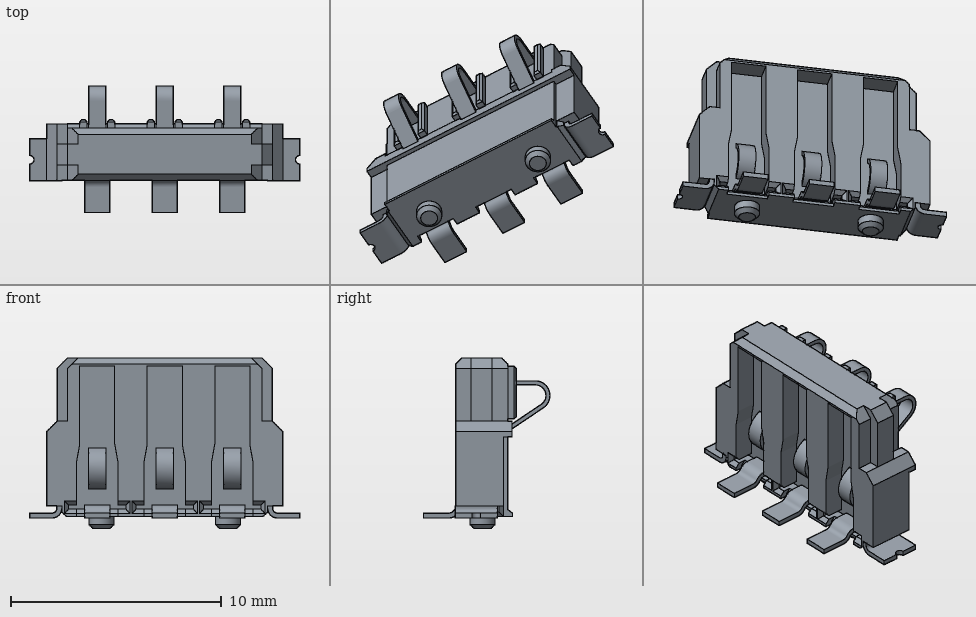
import cadquery as cq
import math


PITCH = 3.2
CONTACT_X = [-PITCH, 0.0, PITCH]

FRONT_Y = -0.98
LOWER_BACK_Y = 1.3
UPPER_BACK_Y = 1.5
SHOULDER_BACK_Y = 1.7

LOWER_HALF_WIDTH = 5.6
STEP = 0.5
RIB_HALF_WIDTH = LOWER_HALF_WIDTH - STEP
UPPER_HALF_WIDTH = RIB_HALF_WIDTH - STEP
SIDE_RIB_FRONT_Y = -0.25
SIDE_RIB_BACK_Y = 0.75

TOP_Z = 7.6
TOP_BEVEL = 0.3
SHOULDER_TOP_Z = 4.6
SHOULDER_BOTTOM_Z = 3.85
LOWER_BOTTOM_Z = 0.58

BASE_HALF_WIDTH = 4.88
BASE_BOTTOM_Z = 0.07
BASE_BEVEL = 0.22
LEDGE_BACK_Y = 1.73
LEDGE_EDGE_HEIGHT = 0.16
LEDGE_HEIGHT = 0.34

GROOVE_FLOOR_Y = 0.0
GROOVE_TOP_Z = 7.2
GROOVE_NARROW_HALF = 0.83
GROOVE_WIDE_HALF = 0.98
GROOVE_TAPER_TOP_Z = 3.51
GROOVE_TAPER_BOTTOM_Z = 2.67

POCKET_HALF_WIDTH = 1.36
POCKET_BOTTOM_Z = 0.42
POCKET_TOP_Z = 0.62
POCKET_FLARE = 0.2
BASE_SETBACK = 0.36

BACK_RIB_OFFSET = 0.655
BACK_RIB_WIDTH = 0.36
BACK_RIB_BOTTOM_Z = 4.7
BACK_RIB_BACK_Y = 1.9
BACK_RIB_BEVEL = 0.1

SPRING_WIDTH = 0.82
SPRING_THICKNESS = 0.2
LOOP_RADIUS = 0.7
LOOP_Y = 2.8
LOOP_Z = 5.81
SPRING_SLOPE = math.radians(34.5)
TIP_RADIUS = 1.0
TIP_Y = 0.316
TIP_Z = 2.33
SPRING_END_Y = 0.4

PLATE_THICKNESS = 0.24
LEAD_WIDTH = 1.2
LEAD_END_Y = -2.5
LEAD_INNER_Y = 0.4
LEAD_TOP_Z = 0.62
LEAD_BEND_Y = -0.59
LEAD_UPPER_RADIUS = 0.56
LEAD_LOWER_RADIUS = 0.3

PAD_END_X = 6.4
PAD_INNER_X = BASE_HALF_WIDTH
PAD_HALF_DEPTH = 1.0
PAD_BEND_RADIUS = 0.22
PAD_LEG_TOP_Z = LOWER_BOTTOM_Z
PAD_NOTCH_RADIUS = 0.2

PEG_X = 3.0
PEG_Y = 0.3
PEG_DIAMETER = 1.2
PEG_BOTTOM_Z = -0.5
PEG_BEVEL = 0.2


def block(x0, x1, y0, y1, z0, z1):
    """Axis-aligned box between two corners."""
    return cq.Workplane("XY").box(x1 - x0, y1 - y0, z1 - z0, centered=False).translate((x0, y0, z0))


def bevelled_slab(half_width, y0, y1, z0, z1):
    """Slab spanning y0 to y1 whose two upper side corners are bevelled by one step."""
    outline = [
        (-half_width, z0),
        (half_width, z0),
        (half_width, z1 - STEP),
        (half_width - STEP, z1),
        (-half_width + STEP, z1),
        (-half_width, z1 - STEP),
    ]
    return cq.Workplane("XZ", origin=(0, y0, 0)).polyline(outline).close().extrude(y0 - y1)


def extrude_along_x(outline, center_x, width):
    """Extrude a closed outline in Y and Z, centred on center_x."""
    return outline.extrude(width / 2, both=True).translate((center_x, 0, 0))


def make_upper_housing():
    upper = bevelled_slab(UPPER_HALF_WIDTH, FRONT_Y, UPPER_BACK_Y, SHOULDER_BOTTOM_Z, TOP_Z)
    for bevel_y, inward in ((FRONT_Y, 1), (UPPER_BACK_Y, -1)):
        corner = [
            (bevel_y, TOP_Z),
            (bevel_y, TOP_Z - TOP_BEVEL),
            (bevel_y + inward * TOP_BEVEL, TOP_Z),
        ]
        wedge = cq.Workplane("YZ").polyline(corner).close()
        upper = upper.cut(extrude_along_x(wedge, 0, 2 * LOWER_HALF_WIDTH))
    side_ribs = bevelled_slab(
        RIB_HALF_WIDTH, SIDE_RIB_FRONT_Y, SIDE_RIB_BACK_Y, SHOULDER_BOTTOM_Z, TOP_Z
    )
    return upper.union(side_ribs)


def make_lower_housing():
    lower = bevelled_slab(
        LOWER_HALF_WIDTH, FRONT_Y, SHOULDER_BACK_Y, LOWER_BOTTOM_Z, SHOULDER_TOP_Z
    )
    lower = lower.cut(block(
        -LOWER_HALF_WIDTH, LOWER_HALF_WIDTH, LOWER_BACK_Y, SHOULDER_BACK_Y,
        LOWER_BOTTOM_Z, SHOULDER_BOTTOM_Z,
    ))
    drop = SHOULDER_BACK_Y - UPPER_BACK_Y
    slope = [
        (UPPER_BACK_Y, SHOULDER_TOP_Z),
        (SHOULDER_BACK_Y, SHOULDER_TOP_Z),
        (SHOULDER_BACK_Y, SHOULDER_TOP_Z - drop),
    ]
    wedge = cq.Workplane("YZ").polyline(slope).close()
    lower = lower.cut(extrude_along_x(wedge, 0, 2 * UPPER_HALF_WIDTH))
    wall = [
        (GROOVE_FLOOR_Y, BASE_BOTTOM_Z),
        (LEDGE_BACK_Y, BASE_BOTTOM_Z),
        (LEDGE_BACK_Y, BASE_BOTTOM_Z + LEDGE_EDGE_HEIGHT),
        (UPPER_BACK_Y, BASE_BOTTOM_Z + LEDGE_HEIGHT),
        (UPPER_BACK_Y, SHOULDER_TOP_Z),
        (GROOVE_FLOOR_Y, SHOULDER_TOP_Z),
    ]
    back_wall = cq.Workplane("YZ").polyline(wall).close()
    return lower.union(extrude_along_x(back_wall, 0, 2 * UPPER_HALF_WIDTH))


def make_base():
    base = block(
        -BASE_HALF_WIDTH, BASE_HALF_WIDTH, FRONT_Y, LOWER_BACK_Y, BASE_BOTTOM_Z, LOWER_BOTTOM_Z
    )
    base = base.edges("|Z and >Y").chamfer(BASE_BEVEL)
    for side in ("<X", ">X"):
        base = base.faces(side).edges("<Z").chamfer(BASE_BEVEL)
    return base


def make_groove(center_x):
    """Tapered front groove, open down to the lead slot."""
    outline = [
        (GROOVE_WIDE_HALF, POCKET_BOTTOM_Z),
        (GROOVE_WIDE_HALF, GROOVE_TAPER_BOTTOM_Z),
        (GROOVE_NARROW_HALF, GROOVE_TAPER_TOP_Z),
        (GROOVE_NARROW_HALF, GROOVE_TOP_Z),
    ]
    outline += [(-x, z) for x, z in reversed(outline)]
    groove = cq.Workplane("XZ", origin=(center_x, FRONT_Y, 0)).polyline(outline).close()
    return groove.extrude(FRONT_Y - GROOVE_FLOOR_Y)


def make_lead_pocket(center_x):
    """Slot around the lead, flared at 45 degrees toward the front."""
    middle_z = (POCKET_BOTTOM_Z + POCKET_TOP_Z) / 2
    height = POCKET_TOP_Z - POCKET_BOTTOM_Z
    width = 2 * POCKET_HALF_WIDTH
    slot = block(
        center_x - POCKET_HALF_WIDTH, center_x + POCKET_HALF_WIDTH,
        FRONT_Y, GROOVE_FLOOR_Y, POCKET_BOTTOM_Z, POCKET_TOP_Z,
    )
    flare = (
        cq.Workplane("XZ", origin=(center_x, FRONT_Y, middle_z))
        .rect(width + 2 * POCKET_FLARE, height + 2 * POCKET_FLARE)
        .workplane(offset=-POCKET_FLARE)
        .rect(width, height)
        .loft()
    )
    setback_y = FRONT_Y + BASE_SETBACK
    profile = [
        (FRONT_Y, BASE_BOTTOM_Z),
        (setback_y, BASE_BOTTOM_Z),
        (setback_y, POCKET_BOTTOM_Z - POCKET_FLARE),
        (setback_y + POCKET_FLARE, POCKET_BOTTOM_Z),
        (FRONT_Y, POCKET_BOTTOM_Z),
    ]
    setback = cq.Workplane("YZ").polyline(profile).close()
    return slot.union(flare).union(extrude_along_x(setback, center_x, 2 * GROOVE_WIDE_HALF))


def make_back_rib(center_x):
    rib = block(
        center_x - BACK_RIB_WIDTH / 2, center_x + BACK_RIB_WIDTH / 2,
        LOWER_BACK_Y, BACK_RIB_BACK_Y, BACK_RIB_BOTTOM_Z, GROOVE_TOP_Z,
    )
    return rib.faces(">Y").edges().chamfer(BACK_RIB_BEVEL)


def arc_point(center, radius, angle):
    return (center[0] + radius * math.cos(angle), center[1] + radius * math.sin(angle))


def make_spring(center_x):
    """Strip that loops out of the back, runs down through the housing and ends in a round nose."""
    loop = (LOOP_Y, LOOP_Z)
    nose = (TIP_Y, TIP_Z)
    loop_inner = LOOP_RADIUS - SPRING_THICKNESS
    nose_inner = TIP_RADIUS - SPRING_THICKNESS
    loop_end = SPRING_SLOPE - math.pi / 2
    nose_start = SPRING_SLOPE + math.pi / 2
    nose_end = 3 * math.pi / 2
    loop_middle = (math.pi / 2 + loop_end) / 2
    nose_middle = (nose_start + nose_end) / 2
    strip = (
        cq.Workplane("YZ")
        .moveTo(LOWER_BACK_Y, LOOP_Z + LOOP_RADIUS)
        .lineTo(LOOP_Y, LOOP_Z + LOOP_RADIUS)
        .threePointArc(arc_point(loop, LOOP_RADIUS, loop_middle), arc_point(loop, LOOP_RADIUS, loop_end))
        .lineTo(*arc_point(nose, nose_inner, nose_start))
        .threePointArc(arc_point(nose, nose_inner, nose_middle), arc_point(nose, nose_inner, nose_end))
        .lineTo(SPRING_END_Y, TIP_Z - nose_inner)
        .lineTo(SPRING_END_Y, TIP_Z - TIP_RADIUS)
        .lineTo(TIP_Y, TIP_Z - TIP_RADIUS)
        .threePointArc(arc_point(nose, TIP_RADIUS, nose_middle), arc_point(nose, TIP_RADIUS, nose_start))
        .lineTo(*arc_point(loop, loop_inner, loop_end))
        .threePointArc(arc_point(loop, loop_inner, loop_middle), (LOOP_Y, LOOP_Z + loop_inner))
        .lineTo(LOWER_BACK_Y, LOOP_Z + loop_inner)
        .close()
    )
    return extrude_along_x(strip, center_x, SPRING_WIDTH)


def make_lead(center_x):
    """Solder lead with an S-bend from the groove floor down to the board."""
    drop = LEAD_TOP_Z - PLATE_THICKNESS
    bend = math.acos(1 - drop / (LEAD_UPPER_RADIUS + LEAD_LOWER_RADIUS))
    upper = (LEAD_BEND_Y, LEAD_TOP_Z - LEAD_UPPER_RADIUS)
    foot_y = LEAD_BEND_Y - (LEAD_UPPER_RADIUS + LEAD_LOWER_RADIUS) * math.sin(bend)
    lower = (foot_y, PLATE_THICKNESS + LEAD_LOWER_RADIUS)
    upper_inner = LEAD_UPPER_RADIUS - PLATE_THICKNESS
    lower_outer = LEAD_LOWER_RADIUS + PLATE_THICKNESS
    up = math.pi / 2
    down = -math.pi / 2
    strip = (
        cq.Workplane("YZ")
        .moveTo(LEAD_INNER_Y, LEAD_TOP_Z)
        .lineTo(LEAD_BEND_Y, LEAD_TOP_Z)
        .threePointArc(
            arc_point(upper, LEAD_UPPER_RADIUS, up + bend / 2),
            arc_point(upper, LEAD_UPPER_RADIUS, up + bend),
        )
        .threePointArc(arc_point(lower, LEAD_LOWER_RADIUS, down + bend / 2), (foot_y, PLATE_THICKNESS))
        .lineTo(LEAD_END_Y, PLATE_THICKNESS)
        .lineTo(LEAD_END_Y, 0)
        .lineTo(foot_y, 0)
        .threePointArc(
            arc_point(lower, lower_outer, down + bend / 2),
            arc_point(lower, lower_outer, down + bend),
        )
        .threePointArc(
            arc_point(upper, upper_inner, up + bend / 2),
            (LEAD_BEND_Y, LEAD_TOP_Z - PLATE_THICKNESS),
        )
        .lineTo(LEAD_INNER_Y, LEAD_TOP_Z - PLATE_THICKNESS)
        .close()
    )
    return extrude_along_x(strip, center_x, LEAD_WIDTH)


def make_solder_pad():
    """Right-hand pad: flat plate, bent up into the housing, notched at its outer end."""
    outer_radius = PAD_BEND_RADIUS + PLATE_THICKNESS
    center = (PAD_INNER_X + outer_radius, outer_radius)
    middle = 5 * math.pi / 4
    pad = (
        cq.Workplane("XZ")
        .moveTo(PAD_END_X, 0)
        .lineTo(center[0], 0)
        .threePointArc(arc_point(center, outer_radius, middle), (PAD_INNER_X, outer_radius))
        .lineTo(PAD_INNER_X, PAD_LEG_TOP_Z)
        .lineTo(PAD_INNER_X + PLATE_THICKNESS, PAD_LEG_TOP_Z)
        .lineTo(PAD_INNER_X + PLATE_THICKNESS, outer_radius)
        .threePointArc(arc_point(center, PAD_BEND_RADIUS, middle), (center[0], PLATE_THICKNESS))
        .lineTo(PAD_END_X, PLATE_THICKNESS)
        .close()
        .extrude(PAD_HALF_DEPTH, both=True)
    )
    notch = cq.Workplane("XY").center(PAD_END_X, 0).circle(PAD_NOTCH_RADIUS).extrude(PLATE_THICKNESS)
    return pad.cut(notch)


def make_peg(center_x):
    peg = (
        cq.Workplane("XY", origin=(center_x, PEG_Y, PEG_BOTTOM_Z))
        .circle(PEG_DIAMETER / 2)
        .extrude(BASE_BOTTOM_Z - PEG_BOTTOM_Z)
    )
    return peg.faces("<Z").edges().chamfer(PEG_BEVEL)


result = make_lower_housing().union(make_upper_housing()).union(make_base())
for x in CONTACT_X:
    result = result.cut(make_groove(x)).cut(make_lead_pocket(x))
for x in CONTACT_X:
    result = result.union(make_spring(x)).union(make_lead(x))
    for offset in (-BACK_RIB_OFFSET, BACK_RIB_OFFSET):
        result = result.union(make_back_rib(x + offset))

right_pad = make_solder_pad()
result = result.union(right_pad).union(right_pad.mirror("YZ"))
for x in (-PEG_X, PEG_X):
    result = result.union(make_peg(x))